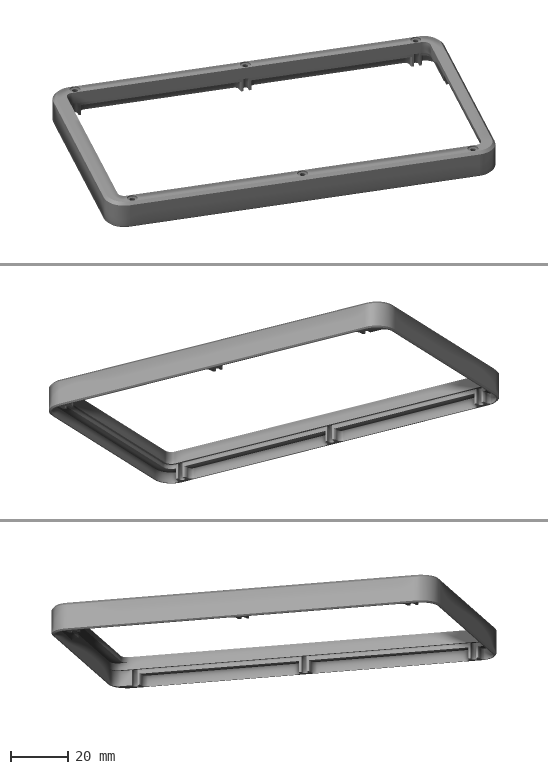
import cadquery as cq
import math

LENGTH = 141.8
WIDTH = 81.0
HEIGHT = 10.0
CORNER_RADIUS = 7.4
TOP_CHAMFER = 1.0
BOTTOM_CHAMFER = 0.5

LIP_WALL = 5.0
SEAT_WALL = 4.1
THIN_WALL = 1.0

SEAT_DEPTH = 5.5
GROOVE_DEPTH = 4.0
THIN_LIP_HEIGHT = 2.0
NOTCH_DEPTH = HEIGHT - THIN_LIP_HEIGHT

NOTCH_START_X = -15.6
NOTCH_CORNER_RADIUS = 3.0

HOLE_SPACING_X = 75.1
HOLE_SPACING_Y = 61.8
HOLE_DIAMETER = 2.0
COUNTERBORE_DIAMETER = 3.8
COUNTERBORE_DEPTH = 0.5
BOSS_RADIUS = 2.1
BOSS_FILLET = 1.7


def rounded_block(wall, height):
    """Block standing on the bottom plane, set in from the outer face by the wall."""
    block = cq.Workplane("XY").rect(WIDTH - 2 * wall, LENGTH - 2 * wall).extrude(height)
    return block.edges("|Z").fillet(CORNER_RADIUS - wall)


def frame_body():
    """Chamfered outer block with the straight opening through it."""
    block = rounded_block(0, HEIGHT)
    block = block.faces(">Z").chamfer(TOP_CHAMFER)
    block = block.faces("<Z").chamfer(BOTTOM_CHAMFER)
    return block.cut(rounded_block(LIP_WALL, HEIGHT))


def boss(side, y):
    """Round boss joined to the thin side wall through two concave fillets."""
    axis_x = HOLE_SPACING_X / 2
    wall_x = WIDTH / 2 - THIN_WALL
    foot_x = wall_x - BOSS_FILLET
    foot_y = BOSS_RADIUS + BOSS_FILLET
    mid_offset = BOSS_FILLET * math.cos(math.radians(45))
    solid = (
        cq.Workplane("XY")
        .moveTo(axis_x, -BOSS_RADIUS)
        .lineTo(foot_x, -BOSS_RADIUS)
        .threePointArc((foot_x + mid_offset, -foot_y + mid_offset), (wall_x, -foot_y))
        .lineTo(wall_x, foot_y)
        .threePointArc((foot_x + mid_offset, foot_y - mid_offset), (foot_x, BOSS_RADIUS))
        .lineTo(axis_x, BOSS_RADIUS)
        .threePointArc((axis_x - BOSS_RADIUS, 0), (axis_x, -BOSS_RADIUS))
        .close()
        .extrude(GROOVE_DEPTH)
    )
    if side < 0:
        solid = solid.mirror("YZ")
    return solid.translate((0, y, 0))


def groove():
    """Groove behind the seat, open at the bottom and interrupted by the bosses."""
    cut = rounded_block(THIN_WALL, GROOVE_DEPTH)
    for side in (-1, 1):
        for y in (-HOLE_SPACING_Y, 0, HOLE_SPACING_Y):
            cut = cut.cut(boss(side, y))
    return cut.cut(notch_corner())


def notch_corner():
    """Solid corner between the nearest boss and the rounded end of the notch."""
    size_x = SEAT_WALL + NOTCH_CORNER_RADIUS
    size_y = LENGTH / 2 - HOLE_SPACING_Y
    return cq.Workplane("XY").box(size_x, size_y, GROOVE_DEPTH, centered=False).translate(
        (WIDTH / 2 - size_x, HOLE_SPACING_Y, 0)
    )


def notch(side_wall, depth):
    """Pocket into the +Y wall, ending at the given wall on the +X side; its outer corners are rounded."""
    size_x = WIDTH / 2 - side_wall - NOTCH_START_X
    end_y = LENGTH / 2 - THIN_WALL
    size_y = LIP_WALL + NOTCH_CORNER_RADIUS
    block = cq.Workplane("XY").box(size_x, size_y, depth, centered=False)
    block = block.edges("|Z and >Y").fillet(NOTCH_CORNER_RADIUS)
    return block.translate((NOTCH_START_X, end_y - size_y, 0))


def screw_cylinders(diameter, bottom, height):
    """Upright cylinders on the six screw axes."""
    return (
        cq.Workplane("XY", origin=(0, 0, bottom))
        .rarray(HOLE_SPACING_X, HOLE_SPACING_Y, 2, 3)
        .circle(diameter / 2)
        .extrude(height)
    )


def boss_slots():
    """Slots as wide as the screw holes, opening each boss toward the inside of the frame."""
    return (
        cq.Workplane("XY")
        .rarray(1.4, HOLE_SPACING_Y, 1, 3)
        .rect(HOLE_SPACING_X, HOLE_DIAMETER)
        .extrude(SEAT_DEPTH)
    )


result = (
    frame_body()
    .cut(groove())
    .cut(rounded_block(SEAT_WALL, SEAT_DEPTH))
    .cut(notch(SEAT_WALL, SEAT_DEPTH))
    .cut(notch(LIP_WALL, NOTCH_DEPTH))
    .cut(screw_cylinders(HOLE_DIAMETER, 0, HEIGHT))
    .cut(boss_slots())
    .cut(screw_cylinders(COUNTERBORE_DIAMETER, HEIGHT - COUNTERBORE_DEPTH, COUNTERBORE_DEPTH))
    .translate((0, 0, -HEIGHT / 2))
)